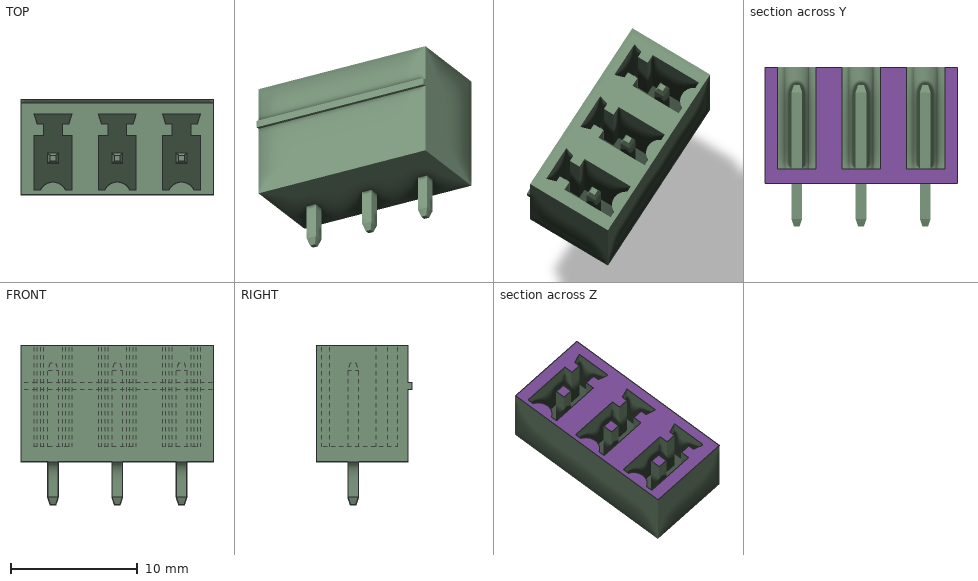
import cadquery as cq
import math

pin_count = 3
pitch = 5.08

body_length = pin_count * pitch
body_depth = 7.25
body_height = 9.2

ridge_projection = 0.3
ridge_height = 0.57
ridge_bottom = 5.7

pocket_width = 3.0
pocket_floor = 1.2
pocket_front = 0.4
neck_front = 4.7
neck_back = 5.6
neck_width = 1.5
dovetail_front_width = 2.5
dovetail_back = 6.4

rib_chord = 1.96
rib_rise = 0.61

pin_width = 0.85
pin_y = 2.9
pin_bottom = -3.4
pin_top = 7.8
tip_width = 0.45
tip_length = 0.6


def make_housing():
    """Plain block with the rear ridge."""
    block = cq.Workplane("XY").box(body_length, body_depth, body_height, centered=(True, False, False))
    ridge = (
        cq.Workplane("XY", origin=(0, body_depth, ridge_bottom))
        .box(body_length, ridge_projection, ridge_height, centered=(True, False, False))
    )
    return block.union(ridge)


def make_pocket(x):
    """Volume removed for one contact, centred on x."""
    half_pocket = pocket_width / 2
    half_neck = neck_width / 2
    half_dovetail = dovetail_front_width / 2
    half_rib = rib_chord / 2
    return (
        cq.Workplane("XY", origin=(x, 0, pocket_floor))
        .moveTo(-half_pocket, pocket_front)
        .lineTo(-half_rib, pocket_front)
        .threePointArc((0, pocket_front + rib_rise), (half_rib, pocket_front))
        .lineTo(half_pocket, pocket_front)
        .lineTo(half_pocket, neck_front)
        .lineTo(half_neck, neck_front)
        .lineTo(half_neck, neck_back)
        .lineTo(half_dovetail, neck_back)
        .lineTo(half_pocket, dovetail_back)
        .lineTo(-half_pocket, dovetail_back)
        .lineTo(-half_dovetail, neck_back)
        .lineTo(-half_neck, neck_back)
        .lineTo(-half_neck, neck_front)
        .lineTo(-half_pocket, neck_front)
        .close()
        .extrude(body_height - pocket_floor)
    )


def make_pin(x):
    """Square pin through the pocket floor, tapered at both ends."""
    tip_taper = math.degrees(math.atan2((pin_width - tip_width) / 2, tip_length))
    shank_bottom = pin_bottom + tip_length
    shank_top = pin_top - tip_length
    upper = (
        cq.Workplane("XY", origin=(x, pin_y, shank_top))
        .rect(pin_width, pin_width)
        .extrude(tip_length, taper=tip_taper)
    )
    shank = (
        cq.Workplane("XY", origin=(x, pin_y, shank_bottom))
        .rect(pin_width, pin_width)
        .extrude(shank_top - shank_bottom)
    )
    lower = (
        cq.Workplane("XY", origin=(x, pin_y, shank_bottom))
        .rect(pin_width, pin_width)
        .extrude(-tip_length, taper=tip_taper)
    )
    return shank.union(upper).union(lower)


contact_positions = [(index - (pin_count - 1) / 2) * pitch for index in range(pin_count)]

result = make_housing()
for contact_x in contact_positions:
    result = result.cut(make_pocket(contact_x)).union(make_pin(contact_x))